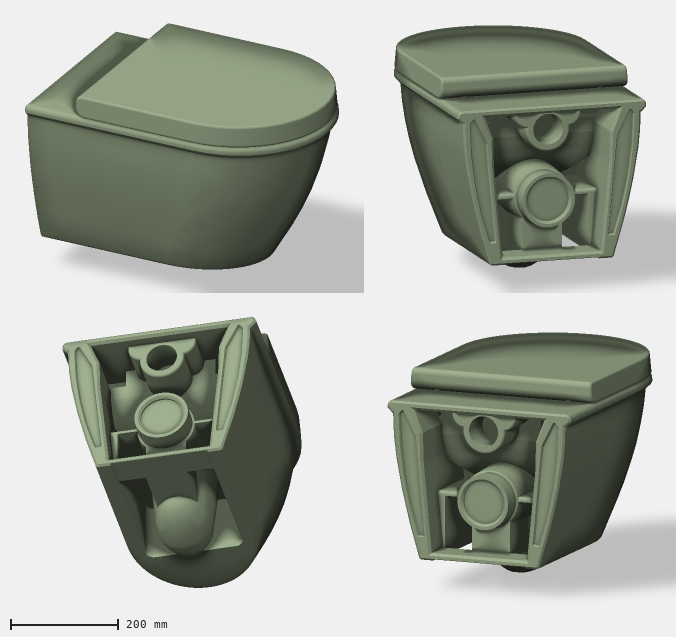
import cadquery as cq
import math

WIDTH = 369.5
LENGTH = 541.0
HALF_WIDTH = WIDTH / 2
RIM_TOP = 297.5
OVERRUN = 54.0
CUT_MARGIN = 5.5

SKIN_SECTIONS = [
    (0.0, 120.0, 265.0, 418.5),
    (65.0, 139.5, 292.0, 457.0),
    (135.0, 157.0, 322.0, 490.5),
    (213.5, 170.5, 340.5, 516.0),
    (281.0, 173.5, 354.5, 531.5),
]
BASE_ROUND = 6.5
BACK_CHAMFER = 4.0

RIM_BOTTOM = 273.5
RIM_UNDERCUT = 10.0
RIM_ROUND = 10.0

OPENING_TOP = (131.0, 283.0)
OPENING_KNEE = (114.0, 240.5)
OPENING_HIP = (112.5, 184.0)
OPENING_FLOOR = (96.0, 14.0)
OPENING_CHAMFER = 5.0
CAVITY_DEPTH = 184.0
SHELF_X = 59.5
SHELF_Z = 121.0
SHELF_ROUND = 6.5
SOLE_RECESS = 2.5

BELLY_X = 97.5
BELLY_BREAK_Z = 221.5
BELLY_SIDE_Z = 171.0
BELLY_FOOT_HALF_WIDTH = 53.0
BELLY_SAG = (123.5, 165.0)

CORNER_INNER_Y = 85.5
CORNER_BOTTOM_Z = 249.0
CORNER_DEPTH = 32.5

CHAMBER_HALF_WIDTH = 92.5
CHAMBER_TOP = 112.5
CHAMBER_END = 303.0
CHAMBER_ROUND = 16.0

GROOVE_DEPTH = 5.5
GROOVE_ROUND = 4.0
GROOVE_TAPER = 25.0
GROOVE_TOP = (152.5, 284.5)
GROOVE_KNEE = (126.5, 233.5)
GROOVE_TIP_INNER = (108.5, 43.0)
GROOVE_TIP_OUTER = (122.0, 43.0)
GROOVE_BULGE = (153.0, 167.5)
GROOVE_SHOULDER = (161.0, 273.0)

INLET_Z = 247.5
INLET_HOLE_DIAMETER = 58.5
INLET_BOSS_RADIUS = 42.0
INLET_FACE_X = 24.5
INLET_HOLE_DEPTH = 65.0
INLET_PLATE_HALF_WIDTH = 64.5
INLET_PLATE_NECK_Z = 251.5
INLET_PLATE_CORNER = 26.0
INLET_EDGE_ROUND = 4.5

OUTLET_Z = 113.0
OUTLET_DIAMETER = 102.0
OUTLET_FACE_X = 20.5
OUTLET_RECESS_DIAMETER = 81.0
OUTLET_RECESS_DEPTH = 8.0
OUTLET_LIP_CHAMFER = 4.5
COLLAR_DIAMETER = 110.0
PIPE_ROOT_DIAMETER = 125.5
COLLAR_X = 57.0
COLLAR_FLARE = 2.5
PIPE_END_X = 194.5

TRAP_X = 216.5
TRAP_RADIUS = 53.0
TRAP_REAR = 85.5
TRAP_FRONT = 67.0
WEB_HALF_WIDTH = 38.5
NECK_FLARE_ANGLE = 6.0

COVER_REAR = 106.5
COVER_FRONT = 538.0
COVER_HEIGHT = 41.5
COVER_TOP_INSET = 4.0
COVER_EDGE_ROUND = 5.0
COVER_REAR_TOP_ROUND = 11.0
COVER_REAR_BOTTOM_ROUND = 19.0
HINGE_PIN_DIAMETER = 16.0
HINGE_PIN_X = 121.5
HINGE_PIN_Y = 132.5
HINGE_PIN_HEIGHT = 21.5


def nosed_outline(z, rear, half_width, nose_start, front):
    """Straight-sided outline with a square rear and a half-elliptical nose."""
    nose = front - nose_start
    return (
        cq.Workplane("XY", origin=(nose_start, 0, z))
        .moveTo(rear - nose_start, -half_width)
        .lineTo(0, -half_width)
        .ellipseArc(nose, half_width, -90, 90, startAtCurrent=True)
        .lineTo(rear - nose_start, half_width)
        .close()
    )


def d_outline(z, rear, half_width, front):
    """Straight-sided outline with a square rear and a semicircular front."""
    centre = front - half_width
    return (
        cq.Workplane("XY", origin=(0, 0, z))
        .moveTo(rear, -half_width)
        .lineTo(centre, -half_width)
        .threePointArc((front, 0), (centre, half_width))
        .lineTo(rear, half_width)
        .close()
    )


def wall_plane(x):
    """Workplane parallel to the wall face: local axes Y and Z, normal +X."""
    return cq.Workplane("YZ", origin=(x, 0, 0))


def mirrored(points):
    """Right-hand points followed by their mirror images, as a loop."""
    return points + [(-y, z) for y, z in reversed(points)]


def block(x0, x1, y0, y1, z0, z1):
    return cq.Workplane("XY").box(x1 - x0, y1 - y0, z1 - z0, centered=False).translate((x0, y0, z0))


def make_skin():
    """Solid outer form: tapering body below an overhanging rim."""
    wires = [nosed_outline(z, -OVERRUN, half, start, front).val() for z, half, start, front in SKIN_SECTIONS]
    body = cq.Workplane(cq.Solid.makeLoft(wires)).faces("<Z").edges().fillet(BASE_ROUND)
    rim = d_outline(RIM_BOTTOM, -OVERRUN, HALF_WIDTH, LENGTH).extrude(RIM_TOP - RIM_BOTTOM)
    rim = rim.faces("<Z").edges().chamfer(RIM_UNDERCUT).faces(">Z").edges().fillet(RIM_ROUND)
    behind_wall = block(-2 * OVERRUN, 0, -WIDTH, WIDTH, -LENGTH, LENGTH)
    return body.union(rim).cut(behind_wall).faces("<X").edges().chamfer(BACK_CHAMFER)


def make_cavity():
    """Rear cavity with a chamfered mouth, stepped up over the bulkhead."""
    outline = mirrored([OPENING_FLOOR, OPENING_HIP, OPENING_KNEE, OPENING_TOP])
    cavity = wall_plane(0).polyline(outline).close().extrude(CAVITY_DEPTH)
    cavity = cavity.cut(block(SHELF_X, LENGTH, -WIDTH, WIDTH, 0, SHELF_Z))
    cavity = cavity.edges(cq.NearestToPointSelector((SHELF_X, 0, SHELF_Z))).fillet(SHELF_ROUND)
    lip = OPENING_CHAMFER
    mouth = (
        wall_plane(0).polyline(outline).close().offset2D(lip, "intersection")
        .workplane(offset=lip).polyline(outline).close().loft(ruled=True)
    )
    return cavity.union(mouth)


def make_belly():
    """Underside of the bowl, narrowing downwards and receding from the wall."""
    profile = (
        cq.Workplane("XZ", origin=(0, WIDTH / 2, 0))
        .moveTo(BELLY_X, OPENING_TOP[1])
        .lineTo(BELLY_X, BELLY_BREAK_Z)
        .threePointArc(BELLY_SAG, (CAVITY_DEPTH, SHELF_Z))
        .lineTo(CAVITY_DEPTH + CUT_MARGIN, SHELF_Z)
        .lineTo(CAVITY_DEPTH + CUT_MARGIN, OPENING_TOP[1])
        .close().extrude(WIDTH)
    )
    side_y = OPENING_TOP[0]
    outline = mirrored([(BELLY_FOOT_HALF_WIDTH, SHELF_Z), (OPENING_HIP[0], BELLY_SIDE_Z),
                        (side_y, BELLY_BREAK_Z), (side_y, OPENING_TOP[1])])
    return profile.intersect(wall_plane(0).polyline(outline).close().extrude(LENGTH))


def make_corner_pocket(side):
    near, far = sorted((side * CORNER_INNER_Y, side * OPENING_TOP[0]))
    return block(BELLY_X - CUT_MARGIN, BELLY_X + CORNER_DEPTH, near, far, CORNER_BOTTOM_Z, OPENING_TOP[1])


def make_chamber():
    """Trap chamber behind the bulkhead, open through the base."""
    half = CHAMBER_HALF_WIDTH
    chamber = block(SHELF_X, CHAMBER_END, -half, half, -CUT_MARGIN, CHAMBER_TOP)
    return chamber.edges("|Z and >X").fillet(CHAMBER_ROUND)


def make_sole_recess():
    half = CHAMBER_HALF_WIDTH
    return block(-CUT_MARGIN, SHELF_X, -half, half, -CUT_MARGIN, SOLE_RECESS)


def make_groove(side):
    """Shallow drafted groove down one side leg, its corners rounded by offsetting in and out."""
    def at(point):
        return (side * point[0], point[1])

    return (
        wall_plane(0)
        .moveTo(*at(GROOVE_TOP))
        .lineTo(*at(GROOVE_KNEE))
        .lineTo(*at(GROOVE_TIP_INNER))
        .lineTo(*at(GROOVE_TIP_OUTER))
        .threePointArc(at(GROOVE_BULGE), at(GROOVE_SHOULDER))
        .close()
        .offset2D(-GROOVE_ROUND).offset2D(GROOVE_ROUND)
        .extrude(GROOVE_DEPTH, taper=GROOVE_TAPER)
    )


def make_inlet():
    """Inlet boss hanging from a flared plate under the rim."""
    depth = CAVITY_DEPTH - INLET_FACE_X
    plate_half = INLET_PLATE_HALF_WIDTH
    boss = wall_plane(INLET_FACE_X).center(0, INLET_Z).circle(INLET_BOSS_RADIUS).extrude(depth)
    plate = block(INLET_FACE_X, CAVITY_DEPTH, -plate_half, plate_half, INLET_PLATE_NECK_Z, OPENING_TOP[1])
    plate = plate.edges("|X and <Z").fillet(INLET_PLATE_CORNER)
    boss = boss.faces("<X").edges().fillet(INLET_EDGE_ROUND)
    plate = plate.faces("<X").edges("<Z").fillet(INLET_EDGE_ROUND)
    return boss.union(plate)


def make_outlet():
    """Outlet spigot with a flared collar and a shallow recess in its end."""
    radius = OUTLET_DIAMETER / 2
    collar_radius = COLLAR_DIAMETER / 2
    recess_radius = OUTLET_RECESS_DIAMETER / 2
    lip = OUTLET_LIP_CHAMFER
    recess_x = OUTLET_FACE_X + OUTLET_RECESS_DEPTH
    section = [
        (recess_x, 0),
        (recess_x, recess_radius),
        (OUTLET_FACE_X + lip, recess_radius),
        (OUTLET_FACE_X, recess_radius + lip),
        (OUTLET_FACE_X, radius),
        (COLLAR_X, radius),
        (COLLAR_X + COLLAR_FLARE, collar_radius),
        (PIPE_END_X, PIPE_ROOT_DIAMETER / 2),
        (PIPE_END_X, 0),
    ]
    pipe = cq.Workplane("XY").polyline(section).close().revolve(360, (0, 0), (1, 0))
    return pipe.translate((0, 0, OUTLET_Z))


def half_egg():
    """Half plan of the trap at the base: two quarter ellipses of unequal length."""
    return (
        cq.Workplane("XY", origin=(TRAP_X, 0, 0))
        .moveTo(TRAP_FRONT, 0)
        .ellipseArc(TRAP_FRONT, TRAP_RADIUS, 0, 90, startAtCurrent=True)
        .ellipseArc(TRAP_REAR, TRAP_RADIUS, 90, 180, startAtCurrent=True)
        .close()
    )


def make_trap():
    """Egg-shaped trap hanging below the base, with its neck and rear web."""
    egg = half_egg().revolve(360, (0, 0), (1, 0))
    half_neck = half_egg().extrude(CHAMBER_TOP + CUT_MARGIN, taper=-NECK_FLARE_ANGLE)
    neck = half_neck.union(half_neck.mirror("XZ"))
    web = block(SHELF_X, TRAP_X, -WEB_HALF_WIDTH, WEB_HALF_WIDTH, SOLE_RECESS, OUTLET_Z)
    return egg.union(neck).union(web)


def make_pan():
    pan = make_skin().cut(make_cavity()).union(make_belly())
    pan = pan.cut(make_chamber()).cut(make_sole_recess())
    for side in (-1, 1):
        pan = pan.cut(make_corner_pocket(side)).cut(make_groove(side))
    pan = pan.union(make_inlet()).union(make_trap()).union(make_outlet())
    inlet_hole = wall_plane(INLET_FACE_X).center(0, INLET_Z).circle(INLET_HOLE_DIAMETER / 2)
    return pan.cut(inlet_hole.extrude(INLET_HOLE_DEPTH))


def make_cover():
    """Seat cover: drafted slab, rounded at the rear, with two hinge pins."""
    draft = math.degrees(math.atan(COVER_TOP_INSET / COVER_HEIGHT))
    slab = d_outline(RIM_TOP, COVER_REAR - OVERRUN, HALF_WIDTH, COVER_FRONT)
    slab = slab.extrude(COVER_HEIGHT, taper=draft)
    rear_trim = block(COVER_REAR, LENGTH, -WIDTH, WIDTH, RIM_TOP, RIM_TOP + COVER_HEIGHT)
    rear_trim = rear_trim.edges("|Y and <X and >Z").fillet(COVER_REAR_TOP_ROUND)
    rear_trim = rear_trim.edges("|Y and <Z and <X").fillet(COVER_REAR_BOTTOM_ROUND)
    pins = (
        cq.Workplane("XY", origin=(0, 0, RIM_TOP))
        .pushPoints([(HINGE_PIN_X, -HINGE_PIN_Y), (HINGE_PIN_X, HINGE_PIN_Y)])
        .circle(HINGE_PIN_DIAMETER / 2).extrude(HINGE_PIN_HEIGHT)
    )
    side_edge = cq.NearestToPointSelector((COVER_REAR + HALF_WIDTH / 2, HALF_WIDTH, RIM_TOP + COVER_HEIGHT))
    lid = slab.intersect(rear_trim).edges(side_edge).fillet(COVER_EDGE_ROUND)
    return lid.union(pins)


pan = make_pan()
cover = make_cover()
result = cq.Compound.makeCompound([pan.val(), cover.val()])